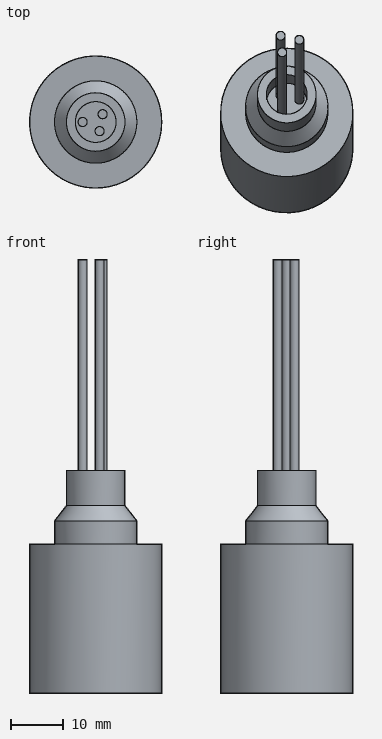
import cadquery as cq

body_diameter = 25.0
body_height = 28.2
collar_diameter = 15.6
collar_height = 4.4
neck_diameter = 11.1
neck_height = 6.65
cone_height = 2.9
housing_height = body_height + collar_height + cone_height + neck_height

bore_diameter = 7.7
bore_depth = neck_height
wire_diameter = 1.7
wire_centres = [(-2.5, 0), (1.3, 1.5), (0.7, -1.7)]
overall_height = 82.0


def make_housing():
    """Stepped body of revolution with a blind bore in the neck."""
    body = cq.Workplane("XY").circle(body_diameter / 2).extrude(body_height)
    collar = body.faces(">Z").workplane().circle(collar_diameter / 2).extrude(collar_height)
    cone = (
        collar.faces(">Z").workplane().circle(collar_diameter / 2)
        .workplane(offset=cone_height).circle(neck_diameter / 2).loft(combine=True)
    )
    neck = cone.faces(">Z").workplane().circle(neck_diameter / 2).extrude(neck_height)
    return neck.faces(">Z").workplane().hole(bore_diameter, bore_depth)


def make_wires():
    """Straight wires standing on the bore floor."""
    bore_floor = housing_height - bore_depth
    return (
        cq.Workplane("XY", origin=(0, 0, bore_floor))
        .pushPoints(wire_centres)
        .circle(wire_diameter / 2).extrude(overall_height - bore_floor)
    )


result = make_housing().union(make_wires())